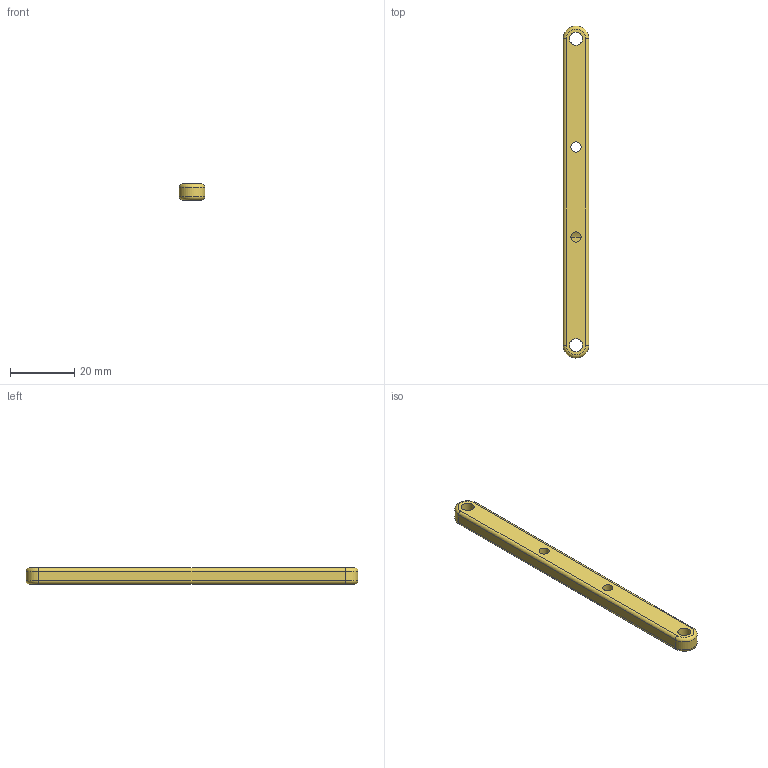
import cadquery as cq
import math

bar_width = 8.0
bar_height = 5.0
rim_radius = 1.0

end_hole_spacing = 95.25
end_hole_diameter = 4.0

inner_hole_spacing = 28.0
inner_hole_diameter = 3.2

blind_hole_depth = 4.0
ramp_radius = 6.0
ramp_axis_offset = 2.0

bar_length = end_hole_spacing + bar_width
end_hole_y = end_hole_spacing / 2
inner_hole_y = inner_hole_spacing / 2


def make_bar():
    """Slot-shaped bar with rounded top and bottom rims."""
    bar = cq.Workplane("XY").slot2D(bar_length, bar_width, 90).extrude(bar_height)
    return bar.faces("<Z or >Z").edges().fillet(rim_radius)


def make_hole(y, diameter, depth):
    """Round cutter sunk from the top face to the given depth."""
    return cq.Workplane("XY", origin=(0, y, bar_height)).circle(diameter / 2).extrude(-depth)


def make_ramp():
    """Material left on the +Y half of the blind hole's floor, curved about an X-parallel axis."""
    floor_z = bar_height - blind_hole_depth
    axis_y = -inner_hole_y - ramp_axis_offset
    axis_z = floor_z + math.sqrt(ramp_radius**2 - ramp_axis_offset**2)

    def arc_point(y):
        return (y, axis_z - math.sqrt(ramp_radius**2 - (y - axis_y) ** 2))

    start_y = -inner_hole_y
    end_y = start_y + inner_hole_diameter / 2
    return (
        cq.Workplane("YZ")
        .moveTo(start_y, floor_z)
        .threePointArc(arc_point((start_y + end_y) / 2), arc_point(end_y))
        .lineTo(end_y, floor_z)
        .close()
        .extrude(inner_hole_diameter / 2, both=True)
    )


result = make_bar()
for end_y in (-end_hole_y, end_hole_y):
    result = result.cut(make_hole(end_y, end_hole_diameter, bar_height))
result = result.cut(make_hole(inner_hole_y, inner_hole_diameter, bar_height))

blind_hole = make_hole(-inner_hole_y, inner_hole_diameter, blind_hole_depth)
result = result.cut(blind_hole.cut(make_ramp()))